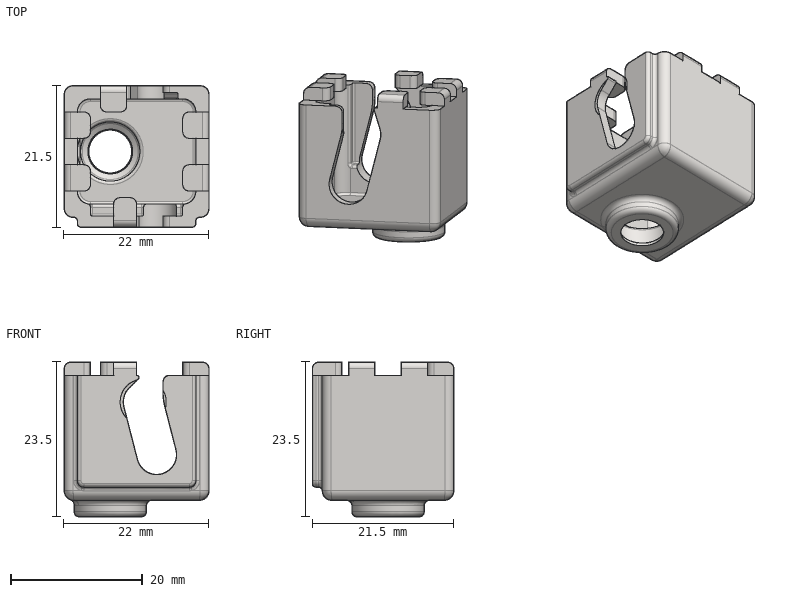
import cadquery as cq
import math

selection_margin = 0.01

collar_height = 2.5
body_height = 19.0
tab_height = 2.0
body_bottom = collar_height
rim = body_bottom + body_height

body_width = 22.0
body_depth = 20.0
wall = 2.0
corner_radius = 1.35
bottom_edge_radius = 1.5
cavity_width = body_width - 2 * wall
cavity_depth = body_depth - 2 * wall
cavity_floor = body_bottom + wall
cavity_corner_radius = 2.0
cavity_floor_radius = 0.4
back_face = body_depth / 2
back_wall_inner = cavity_depth / 2
front_wall_inner = -cavity_depth / 2

pad_width = 18.0
pad_thickness = 1.5
pad_rise = 2.0
pad_bottom = body_bottom + pad_rise
pad_corner_radius = 1.0
pad_edge_radius = 0.55
pad_root_radius = 0.55
front_face = -body_depth / 2 - pad_thickness

nozzle_x = -4.0
collar_radius = 5.5
collar_edge_radius = 0.8
collar_root_radius = 0.8
bore_radius = 4.5
bore_mouth_radius = 0.5
bore_bevel = 0.25
funnel_top = 1.15
funnel_top_radius = bore_radius - bore_bevel
funnel_foot = 0.65
funnel_foot_radius = 3.4
nozzle_hole_radius = 3.25

slot_radius = 3.0
slot_top = (1.0, 17.43)
slot_bottom = (3.05, 9.45)
slot_right_rim_radius = 1.0
slot_right_bend_radius = 8.0
front_lip_angle = 45.0
front_lip_radius = 0.32
back_lip_angle = 17.5
back_lip_radius = 0.2
seat_radius = 3.5
seat_thickness = 0.01

pocket_half_width = cavity_width / 2 - cavity_corner_radius
pocket_depth = 1.8
pocket_left_end = 1.07
pocket_right_start = slot_bottom[0]
pocket_left_floor = 7.0
pocket_right_floor = 9.1
pocket_floor_radius = 0.3
pocket_lip_radius = 0.5

relief_depth = 1.0
relief_edge_radius = 0.25
relief_mouth_radius = 0.2
relief_rim_x = 6.25
relief_lean = 25.8
relief_height = 5.0

tab_radius = 1.0
tab_reach = 4.0
side_tab_start = 2.0
back_tab_start_x = -5.5
front_tab_start_x = -3.5
front_tab_width = 3.5
front_tab_reach = 4.5


def box_between(low, high):
    """Axis-aligned box from its lowest corner to its highest corner."""
    size = [b - a for a, b in zip(low, high)]
    return cq.Workplane("XY").box(*size, centered=False).translate(low)


def edges_within(low, high):
    """Selector for edges whose centre lies in a region, with a little slack."""
    return cq.selectors.BoxSelector(
        (low[0] - selection_margin, low[1] - selection_margin, low[2] - selection_margin),
        (high[0] + selection_margin, high[1] + selection_margin, high[2] - selection_margin),
    )


def point_around(center, radius, angle):
    """Point (x, z) on a circle; the angle is in degrees from +X toward +Z."""
    turn = math.radians(angle)
    return (
        center[0] + radius * math.cos(turn),
        center[1] + radius * math.sin(turn),
    )


def make_body():
    """Outer block with the raised front pad blended into it."""
    shell = (
        cq.Workplane("XY")
        .workplane(offset=body_bottom)
        .rect(body_width, body_depth)
        .extrude(body_height)
        .edges("|Z")
        .fillet(corner_radius)
        .faces("<Z")
        .edges()
        .fillet(bottom_edge_radius)
    )
    pad = box_between(
        (-pad_width / 2, front_face, pad_bottom),
        (pad_width / 2, 0, rim),
    )
    pad = pad.edges("|Y and <Z").fillet(pad_corner_radius)
    pad = pad.faces("<Y").edges("not >Z").fillet(pad_edge_radius)
    body = shell.union(pad)
    root = edges_within(
        (-pad_width / 2, -body_depth / 2, pad_bottom),
        (pad_width / 2, -body_depth / 2, rim),
    )
    return body.edges(root).fillet(pad_root_radius)


def add_collar(body):
    """Join the round nozzle collar to the underside with a blended root."""
    collar = (
        cq.Workplane("XY")
        .center(nozzle_x, 0)
        .circle(collar_radius)
        .extrude(cavity_floor)
        .faces("<Z")
        .edges()
        .fillet(collar_edge_radius)
    )
    joined = body.union(collar)
    root = edges_within(
        (nozzle_x - collar_radius, -collar_radius, body_bottom),
        (nozzle_x + collar_radius, collar_radius, body_bottom + bottom_edge_radius / 2),
    )
    return joined.edges(root).fillet(collar_root_radius)


def make_cavity():
    """Hollow of the cup, running up past the rim."""
    return (
        cq.Workplane("XY")
        .workplane(offset=cavity_floor)
        .rect(cavity_width, cavity_depth)
        .extrude(rim + tab_height - cavity_floor)
        .edges("|Z")
        .fillet(cavity_corner_radius)
        .faces("<Z")
        .edges()
        .fillet(cavity_floor_radius)
    )


def make_bore():
    """Nozzle passage: rounded mouth, straight bore, funnel and a small lip."""
    mouth_bottom = cavity_floor - bore_mouth_radius
    mouth_radius = bore_radius + bore_mouth_radius
    mouth_sag = bore_mouth_radius * (1 - math.sqrt(0.5))
    profile = (
        cq.Workplane("XZ")
        .moveTo(0, cavity_floor)
        .lineTo(mouth_radius, cavity_floor)
        .threePointArc(
            (bore_radius + mouth_sag, cavity_floor - mouth_sag),
            (bore_radius, mouth_bottom),
        )
        .lineTo(bore_radius, funnel_top + bore_bevel)
        .lineTo(funnel_top_radius, funnel_top)
        .lineTo(funnel_foot_radius, funnel_foot)
        .lineTo(nozzle_hole_radius, 0)
        .lineTo(0, 0)
        .close()
    )
    return profile.revolve(360, (0, 0), (0, 1)).translate((nozzle_x, 0, 0))


def make_slot(lip_angle, lip_radius, y_low, y_high):
    """Leaning slot, open at the rim; its left lip leans by lip_angle from vertical."""
    run = slot_bottom[0] - slot_top[0]
    rise = slot_top[1] - slot_bottom[1]
    lean = math.degrees(math.atan2(run, rise))

    lip_start = point_around(slot_top, slot_radius, 180 - lip_angle)
    lip_slope = math.tan(math.radians(lip_angle))
    lip_x = lip_start[0] + (rim - lip_start[1]) * lip_slope
    right_x = slot_top[0] + slot_radius

    lip_setback = lip_radius / math.tan(math.radians(90 - lip_angle) / 2)
    lip_center = (lip_x - lip_setback, rim - lip_radius)
    lip_middle = point_around(lip_center, lip_radius, (90 - lip_angle) / 2)
    lip_end = point_around(lip_center, lip_radius, -lip_angle)

    flank_turn = math.radians(lean)
    flank_foot = point_around(slot_bottom, slot_radius, lean)
    bend_setback = slot_right_bend_radius * math.tan(flank_turn / 2)
    bend_z = flank_foot[1] + (flank_foot[0] - right_x) / math.tan(flank_turn)
    bend_center = (right_x + slot_right_bend_radius, bend_z + bend_setback)
    bend_start = point_around(bend_center, slot_right_bend_radius, 180 + lean)
    bend_middle = point_around(bend_center, slot_right_bend_radius, 180 + lean / 2)
    bend_end = (right_x, bend_center[1])

    rim_center = (right_x + slot_right_rim_radius, rim - slot_right_rim_radius)
    outline = (
        cq.Workplane("XZ")
        .moveTo(lip_center[0], rim)
        .threePointArc(lip_middle, lip_end)
        .lineTo(*lip_start)
        .threePointArc(
            point_around(slot_top, slot_radius, 180 + (lean - lip_angle) / 2),
            point_around(slot_top, slot_radius, 180 + lean),
        )
        .lineTo(*point_around(slot_bottom, slot_radius, 180 + lean))
        .threePointArc(
            point_around(slot_bottom, slot_radius, 270 + lean),
            point_around(slot_bottom, slot_radius, lean),
        )
        .lineTo(*bend_start)
        .threePointArc(bend_middle, bend_end)
        .lineTo(right_x, rim_center[1])
        .threePointArc(
            point_around(rim_center, slot_right_rim_radius, 135),
            (rim_center[0], rim),
        )
        .close()
    )
    return outline.extrude(y_high - y_low).translate((0, y_high, 0))


def make_seat():
    """Thin round seat standing proud of the pad around the top of the front slot."""
    disc = cq.Workplane("XZ").center(*slot_top).circle(seat_radius)
    return disc.extrude(pad_thickness + seat_thickness).translate((0, front_face + pad_thickness, 0))


def cut_pocket(cup, x_low, x_high, floor):
    """Cut one pocket into the front wall, rounded along its floor and at its mouth."""
    hollow = box_between(
        (x_low, front_wall_inner - pocket_depth, floor),
        (x_high, front_wall_inner, rim),
    )
    hollow = hollow.edges("(<Z or <Y) and (not >Y)").edges("not >Z").fillet(pocket_floor_radius)
    mouth = edges_within((x_low, front_wall_inner, floor), (x_high, front_wall_inner, rim))
    return cup.cut(hollow).edges(mouth).fillet(pocket_lip_radius)


def cut_relief(cup):
    """Cut the leaning relief beside the back slot and round its mouth."""
    foot_z = rim - relief_height
    foot_x = relief_rim_x - relief_height * math.tan(math.radians(relief_lean))
    outline = (
        cq.Workplane("XZ")
        .moveTo(foot_x, foot_z)
        .lineTo(relief_rim_x, rim)
        .lineTo(slot_top[0], rim)
        .lineTo(slot_top[0], foot_z)
        .close()
    )
    relief = outline.extrude(relief_depth).translate((0, back_wall_inner + relief_depth, 0))
    relief = relief.faces(">Y").edges(">X").fillet(relief_edge_radius)
    mouth = edges_within(
        (foot_x, back_wall_inner, foot_z + selection_margin * 2),
        (relief_rim_x, back_wall_inner, rim),
    )
    return cup.cut(relief).edges(mouth).fillet(relief_mouth_radius)


def make_tab(x_low, x_high, y_low, y_high, outer_side, inner_side):
    """Tab with a rounded outer top edge and rounded corners over the cavity."""
    tab = box_between((x_low, y_low, rim), (x_high, y_high, rim + tab_height))
    tab = tab.faces(outer_side).edges(">Z").fillet(tab_radius)
    return tab.faces(inner_side).edges("|Z").fillet(tab_radius)


def add_tabs(body):
    """Two tabs on each side, one at the back and one on the front pad."""
    side = body_width / 2
    for y_low in (side_tab_start, -side_tab_start - tab_reach):
        y_high = y_low + tab_reach
        body = body.union(make_tab(-side, tab_reach - side, y_low, y_high, "<X", ">X"))
        body = body.union(make_tab(side - tab_reach, side, y_low, y_high, ">X", "<X"))
    back_tab_end_x = back_tab_start_x + tab_reach
    back_tab = make_tab(
        back_tab_start_x, back_tab_end_x, back_face - tab_reach, back_face, ">Y", "<Y"
    )
    front_tab_end_x = front_tab_start_x + front_tab_width
    front_tab = make_tab(
        front_tab_start_x, front_tab_end_x, front_face, front_face + front_tab_reach, "<Y", ">Y"
    )
    return body.union(back_tab).union(front_tab)


cup = add_collar(make_body()).union(make_seat())
cup = cup.cut(make_cavity()).cut(make_bore())
cup = cut_pocket(cup, -pocket_half_width, pocket_left_end, pocket_left_floor)
cup = cut_pocket(cup, pocket_right_start, pocket_half_width, pocket_right_floor)
cup = cut_relief(cup)
cup = cup.cut(make_slot(front_lip_angle, front_lip_radius, front_face - pad_thickness, 0))
cup = cup.cut(make_slot(back_lip_angle, back_lip_radius, 0, back_face + wall))
result = add_tabs(cup)